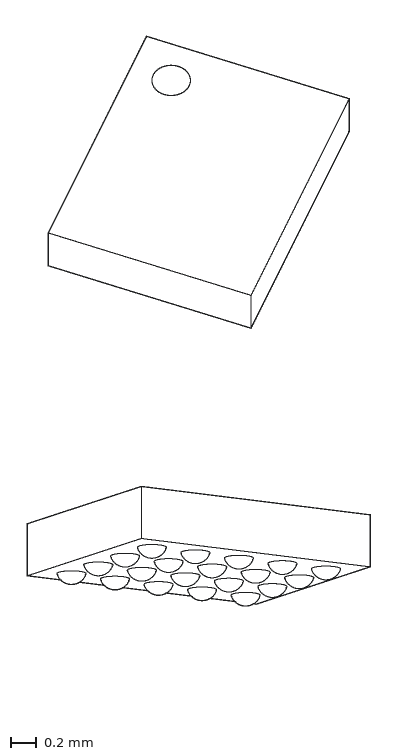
import cadquery as cq

body_width = 1.7
body_length = 2.1
total_height = 0.5
ball_drop = 0.085
body_height = total_height - ball_drop

ball_columns = 4
ball_rows = 5
ball_pitch = 0.4
ball_radius = 0.12
ball_center_z = ball_radius - ball_drop

mark_diameter = 0.3
mark_depth = 0.002
mark_x = -0.51
mark_y = 0.712


def make_body():
    return cq.Workplane("XY").box(
        body_width, body_length, body_height, centered=(True, True, False)
    )


def make_balls():
    return (
        cq.Workplane("XY", origin=(0, 0, ball_center_z))
        .rarray(ball_pitch, ball_pitch, ball_columns, ball_rows)
        .sphere(ball_radius)
    )


def make_pin_mark():
    return (
        cq.Workplane("XY", origin=(mark_x, mark_y, body_height - mark_depth))
        .circle(mark_diameter / 2)
        .extrude(mark_depth)
    )


result = make_body().union(make_balls()).cut(make_pin_mark())